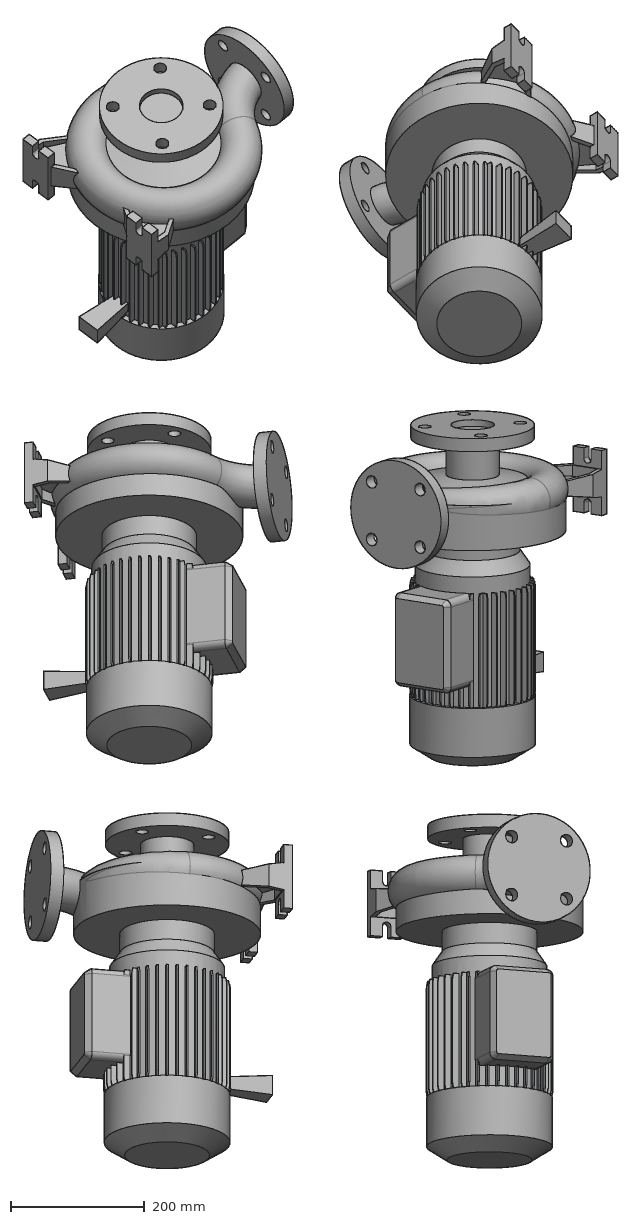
import cadquery as cq
import math


flange_thickness = 20.0
bolt_count = 4
bolt_hole_diameter = 19.0
suction_flange_diameter = 185.0
suction_bolt_circle = 145.0
suction_face_z = 100.0
suction_pipe_diameter = 80.0
suction_bore_diameter = 65.0
suction_bore_depth = 10.0
discharge_flange_diameter = 165.0
discharge_bolt_circle = 125.0
discharge_face_y = 200.0

volute_radius = 114.48
volute_tube_radius = 32.5
volute_center_x = 5.2
tail_mid_tube_radius = 28.5
tail_end_tube_radius = 20.0
cover_radius = 100.0
cover_top_z = 24.0
cover_slope_angle = 10.0

casing_radius = 140.0
casing_top_z = 8.0
casing_bottom_z = -61.0
neck_radius = 71.0
neck_bottom_z = -92.0
motor_radius = 86.0
cone_bottom_z = -114.0
fins_top_z = -139.0
bell_radius = 94.2
bell_top_z = -314.0
bell_chamfer_z = -389.0
bell_end_radius = 63.5
motor_bottom_z = -409.0

fin_thickness = 2.4
fin_height = 9.0
fin_pitch_angle = 10.0
fins_per_side = 10
fin_end_setback = 1.5
fin_end_length = 8.0

box_width = 101.5
box_outer_y = 138.5
box_bottom_z = -282.0
box_corner_radius = 10.0
box_bevel_depth = 10.0
box_bevel_inset = 7.0

lug_root_y = -85.0
lug_tip_y = -158.0
lug_tip_width = 38.0
lug_tip_height = 30.5
lug_center_z = -291.5
lug_taper_angle = 4.8

foot_face_y = -160.0
foot_thickness = 13.5
foot_width = 52.0
foot_height = 100.0
foot_center_x = 107.0
foot_slot_width = 13.0
foot_slot_depth = 22.5
outer_rib_thickness_x = 7.6
outer_rib_end_x = 107.0
outer_rib_end_y = -80.0
inner_rib_thickness_y = 8.5
inner_rib_overlap = 7.0
inner_rib_end_x = 40.0
inner_rib_end_y = -128.0
rib_bend_y = -124.0
rib_root_half_height = 22.5
rib_taper_slope = 0.163
web_half_thickness = 4.0


def cylinder(radius, bottom_z, top_z):
    return cq.Workplane("XY").workplane(offset=bottom_z).circle(radius).extrude(top_z - bottom_z)


def volute_bend(radius, pivot_x, pivot_y, start_angle, end_angle):
    """Part of a ring with the volute's round section, anticlockwise between two angles about a pivot."""
    section = cq.Workplane("XZ").center(radius, 0).circle(volute_tube_radius)
    ring = section.revolve(end_angle - start_angle, (-radius, 0), (-radius, 1))
    ring = ring.rotate((0, 0, 0), (0, 0, 1), start_angle)
    return ring.translate((pivot_x, pivot_y, 0))


def make_volute_tail(end_angle):
    """Tapering start of the volute, which closes the ring from its -X end to inside the outlet."""
    mid_angle = (180 + end_angle) / 2

    def center_at(angle):
        turn = math.radians(angle)
        return (volute_center_x + volute_radius * math.cos(turn), volute_radius * math.sin(turn))

    def section_plane(angle):
        turn = math.radians(angle)
        tangent = (math.sin(turn), -math.cos(turn), 0)
        return cq.Plane(origin=(*center_at(angle), 0), xDir=(0, 0, 1), normal=tangent)

    spine = cq.Workplane("XY").moveTo(*center_at(180)).threePointArc(center_at(mid_angle), center_at(end_angle))
    sections = cq.Workplane(section_plane(180)).circle(volute_tube_radius)
    for angle, tube_radius in ((mid_angle, tail_mid_tube_radius), (end_angle, tail_end_tube_radius)):
        section = cq.Workplane(section_plane(angle)).circle(tube_radius)
        sections.ctx.pendingWires.extend(section.ctx.pendingWires)
    return sections.sweep(spine, multisection=True)


def make_volute():
    ring_reach = volute_radius + volute_center_x
    elbow_radius = (discharge_face_y**2 / ring_reach - volute_radius + volute_center_x) / 2
    outlet_angle = math.degrees(math.asin(discharge_face_y / (volute_radius + elbow_radius)))
    main_ring = volute_bend(volute_radius, volute_center_x, 0, -180, outlet_angle)
    elbow = volute_bend(elbow_radius, elbow_radius, discharge_face_y, 180, 180 + outlet_angle)
    tail = make_volute_tail(outlet_angle)
    return main_ring.union(elbow).union(tail)


def make_cover():
    """Shallow conical cover closing the inside of the volute ring around the suction pipe."""
    inner_radius = suction_pipe_diameter / 2
    edge_z = cover_top_z - (cover_radius - inner_radius) * math.tan(math.radians(cover_slope_angle))
    profile = [
        (0, cover_top_z),
        (inner_radius, cover_top_z),
        (cover_radius, edge_z),
        (cover_radius, casing_bottom_z),
        (0, casing_bottom_z),
    ]
    return cq.Workplane("XZ").polyline(profile).close().revolve(360, (0, 0), (0, 1))


def make_casing_and_motor():
    profile = [
        (0, casing_top_z),
        (casing_radius, casing_top_z),
        (casing_radius, casing_bottom_z),
        (neck_radius, casing_bottom_z),
        (neck_radius, neck_bottom_z),
        (motor_radius, cone_bottom_z),
        (motor_radius, bell_top_z),
        (bell_radius, bell_top_z),
        (bell_radius, bell_chamfer_z),
        (bell_end_radius, motor_bottom_z),
        (0, motor_bottom_z),
    ]
    return cq.Workplane("XZ").polyline(profile).close().revolve(360, (0, 0), (0, 1))


def make_fins():
    """Fins in four groups, all fins of a group being parallel to the group's own axis."""
    fins = cq.Workplane("XY")
    first_angle = -fin_pitch_angle * (fins_per_side - 1) / 2
    for index in range(fins_per_side):
        angle = math.radians(first_angle + index * fin_pitch_angle)
        offset = motor_radius * math.sin(angle)
        tip = motor_radius * math.cos(angle) + fin_height
        root = tip - 2 * fin_height
        outline = [
            (root, fins_top_z),
            (tip - fin_end_setback, fins_top_z),
            (tip, fins_top_z - fin_end_length),
            (tip, bell_top_z + fin_end_length),
            (tip - fin_end_setback, bell_top_z),
            (root, bell_top_z),
        ]
        fin = cq.Workplane("XZ").polyline(outline).close().extrude(fin_thickness / 2, both=True)
        fin = fin.translate((0, offset, 0))
        for side in range(4):
            fins = fins.add(fin.rotate((0, 0, 0), (0, 0, 1), 90 * side))
    return fins.combine()


def make_terminal_box():
    height = fins_top_z - box_bottom_z
    center_z = (fins_top_z + box_bottom_z) / 2
    shoulder_y = box_outer_y - box_bevel_depth
    section = cq.Sketch().rect(box_width, height).vertices().fillet(box_corner_radius)
    body = cq.Workplane("XZ", origin=(0, 0, center_z)).placeSketch(section).extrude(-shoulder_y)
    bevel_angle = math.degrees(math.atan(box_bevel_inset / box_bevel_depth))
    lid = cq.Workplane("XZ", origin=(0, shoulder_y, center_z)).placeSketch(section)
    return body.union(lid.extrude(-box_bevel_depth, taper=bevel_angle))


def make_lug():
    lug = cq.Workplane("XZ", origin=(0, lug_tip_y, lug_center_z)).rect(lug_tip_width, lug_tip_height)
    return lug.extrude(lug_tip_y - lug_root_y, taper=lug_taper_angle)


def make_foot():
    """Foot on the +X side: slotted plate, two ribs and the web between them."""
    plate_back_y = foot_face_y + foot_thickness
    inner_x = foot_center_x - foot_width / 2
    outer_x = foot_center_x + foot_width / 2
    plate = cq.Workplane("XY").box(foot_width, foot_thickness, foot_height)
    plate = plate.translate((foot_center_x, foot_face_y + foot_thickness / 2, 0))
    slot_length = 2 * foot_slot_depth
    slot = cq.Workplane("XZ").slot2D(slot_length, foot_slot_width, 90).extrude(foot_thickness, both=True)
    for end in (-1, 1):
        plate = plate.cut(slot.translate((foot_center_x, foot_face_y, end * foot_height / 2)))

    root_y = plate_back_y - inner_rib_overlap
    blank_outline = [
        (inner_x, root_y),
        (outer_x, root_y),
        (outer_x, rib_bend_y),
        (outer_rib_end_x, outer_rib_end_y),
        (inner_rib_end_x, inner_rib_end_y),
    ]
    pocket_outline = [
        (inner_x, root_y + inner_rib_thickness_y),
        (outer_x - outer_rib_thickness_x, root_y + inner_rib_thickness_y),
        (outer_x - outer_rib_thickness_x, rib_bend_y),
        (outer_rib_end_x - outer_rib_thickness_x, outer_rib_end_y),
        (inner_rib_end_x, inner_rib_end_y + inner_rib_thickness_y),
    ]
    blank = cq.Workplane("XY").polyline(blank_outline).close().extrude(foot_height / 2, both=True)
    pocket = cq.Workplane("XY", origin=(0, 0, web_half_thickness)).polyline(pocket_outline).close()
    pocket = pocket.extrude(foot_height)
    blank = blank.cut(pocket).cut(pocket.mirror("XY"))

    tip_half_height = rib_root_half_height - rib_taper_slope * (outer_rib_end_y - root_y)
    side_outline = [
        (root_y, rib_root_half_height),
        (outer_rib_end_y, tip_half_height),
        (outer_rib_end_y, -tip_half_height),
        (root_y, -rib_root_half_height),
    ]
    side_envelope = cq.Workplane("YZ").polyline(side_outline).close().extrude(casing_radius)
    return plate.union(blank.intersect(side_envelope))


def make_flange(diameter, bolt_circle, first_bolt_angle):
    """Flange with its bolt holes, its outer face at the origin and its body below."""
    return (
        cq.Workplane("XY")
        .circle(diameter / 2)
        .polarArray(bolt_circle / 2, first_bolt_angle, 360, bolt_count)
        .circle(bolt_hole_diameter / 2)
        .extrude(-flange_thickness)
    )


def make_suction_branch():
    flange = make_flange(suction_flange_diameter, suction_bolt_circle, 45)
    flange = flange.translate((0, 0, suction_face_z))
    pipe = cylinder(suction_pipe_diameter / 2, 0, suction_face_z)
    bore = cylinder(suction_bore_diameter / 2, suction_face_z - suction_bore_depth, suction_face_z)
    return flange.union(pipe).cut(bore)


def make_discharge_flange():
    flange = make_flange(discharge_flange_diameter, discharge_bolt_circle, 45)
    return flange.rotate((0, 0, 0), (1, 0, 0), -90).translate((0, discharge_face_y, 0))


foot = make_foot()
result = (
    make_casing_and_motor()
    .union(make_volute())
    .union(make_cover())
    .union(make_suction_branch())
    .union(make_discharge_flange())
    .union(foot)
    .union(foot.mirror("YZ"))
    .union(make_fins())
    .union(make_terminal_box())
    .union(make_lug())
)